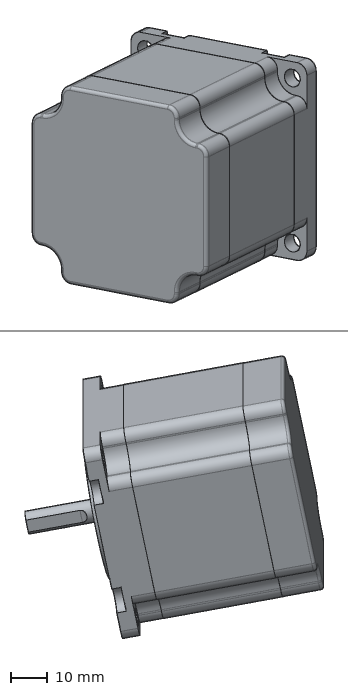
import cadquery as cq
import math


stack_width = 56.6
stack_overhang = 0.05
cap_width = stack_width - 2 * stack_overhang
half_cap_width = cap_width / 2
housing_length = 55.8
front_cap_length = 11.3
rear_cap_length = 11.5
stack_length = housing_length - front_cap_length - rear_cap_length
rear_edge_radius = 1.0

flange_thickness = 4.8
flange_corner_radius = 3.15
mount_hole_spacing = 47.14
mount_hole_diameter = 5.0

scallop_center_inset = 3.6
cap_scallop_radius = 5.85
cap_lip_radius = 3.15

recess_spacing = 32.1
recess_diameter = 7.1
recess_depth = 2.6

pilot_diameter = 38.1
pilot_height = 1.6

overall_length = 76.8
shaft_tip = overall_length - housing_length
shaft_diameter = 6.35
shaft_length = shaft_tip - pilot_height
flat_height = 5.8
flat_length = 15.0
flat_runout_radius = 2.5


def extrude_along_y(sketch_outline, start, end):
    """Extrude an outline drawn on the XZ plane from Y = start to Y = end."""
    plane = cq.Workplane("XZ", origin=(0, end, 0))
    return sketch_outline(plane).extrude(end - start)


def square_outline(plane):
    return plane.rect(cap_width, cap_width)


def scalloped_outline(plane, overhang):
    """Square with S-curved corners, grown by an overhang beyond the outline of the caps.

    Each corner is a rounded lip, a short flat, a concave quarter arc, a flat and a second lip.
    """
    half_width = half_cap_width + overhang
    scallop_radius = cap_scallop_radius - overhang
    lip_radius = cap_lip_radius + overhang
    scallop_edge = half_cap_width - scallop_center_inset
    lip_wall = scallop_edge - scallop_radius
    lip_start = lip_wall - lip_radius
    lip_end = half_width - lip_radius
    diagonal = math.sqrt(0.5)
    lip_middle_low = lip_start + lip_radius * diagonal
    lip_middle_high = lip_end + lip_radius * diagonal
    scallop_middle = scallop_edge - scallop_radius * diagonal

    corner = [
        (lip_start, half_width),
        (lip_middle_low, lip_middle_high),
        (lip_wall, lip_end),
        (lip_wall, scallop_edge),
        (scallop_middle, scallop_middle),
        (scallop_edge, lip_wall),
        (lip_end, lip_wall),
        (lip_middle_high, lip_middle_low),
        (half_width, lip_start),
    ]
    outline = plane.moveTo(-lip_start, half_width)
    for _ in range(4):
        outline = (
            outline.lineTo(*corner[0])
            .threePointArc(corner[1], corner[2])
            .lineTo(*corner[3])
            .threePointArc(corner[4], corner[5])
            .lineTo(*corner[6])
            .threePointArc(corner[7], corner[8])
        )
        corner = [(z, -x) for x, z in corner]
    return outline.close()


def cap_outline(plane):
    return scalloped_outline(plane, 0)


def stack_outline(plane):
    return scalloped_outline(plane, stack_overhang)


def make_flange():
    flange = extrude_along_y(square_outline, -flange_thickness, 0)
    flange = flange.edges("|Y").fillet(flange_corner_radius)
    mount_holes = (
        cq.Workplane("XZ")
        .rect(mount_hole_spacing, mount_hole_spacing, forConstruction=True)
        .vertices()
        .circle(mount_hole_diameter / 2)
        .extrude(flange_thickness)
    )
    screw_recesses = (
        cq.Workplane("XZ")
        .rect(recess_spacing, cap_width, forConstruction=True)
        .vertices()
        .circle(recess_diameter / 2)
        .extrude(recess_depth)
    )
    return flange.cut(mount_holes).cut(screw_recesses)


def make_housing():
    stack_front = -front_cap_length
    stack_rear = stack_front - stack_length
    front_cap = extrude_along_y(cap_outline, stack_front, -flange_thickness)
    stack = extrude_along_y(stack_outline, stack_rear, stack_front)
    rear_cap = extrude_along_y(cap_outline, -housing_length, stack_rear)
    rear_cap = rear_cap.faces("<Y").edges().fillet(rear_edge_radius)
    pilot = cq.Workplane("XZ").circle(pilot_diameter / 2).extrude(-pilot_height)
    return make_flange().union(front_cap).union(stack).union(rear_cap).union(pilot)


def make_shaft():
    """Round shaft on the pilot face, with a flat on its -Z side ending in a rounded run-out."""
    radius = shaft_diameter / 2
    shaft = cq.Workplane("XZ", origin=(0, pilot_height, 0)).circle(radius).extrude(-shaft_length)
    flat_z = radius - flat_height
    flat_end = shaft_tip - flat_length
    cutter_bottom = flat_z - flat_runout_radius
    runout_middle_y = flat_end - flat_runout_radius * math.sqrt(0.5)
    runout_middle_z = cutter_bottom + flat_runout_radius * math.sqrt(0.5)
    flat_cutter = (
        cq.Workplane("YZ")
        .moveTo(shaft_tip, flat_z)
        .lineTo(flat_end, flat_z)
        .threePointArc((runout_middle_y, runout_middle_z), (flat_end - flat_runout_radius, cutter_bottom))
        .lineTo(shaft_tip, cutter_bottom)
        .close()
        .extrude(radius, both=True)
    )
    return shaft.cut(flat_cutter)


housing = make_housing()
shaft = make_shaft()

result = cq.Compound.makeCompound([housing.val(), shaft.val()])